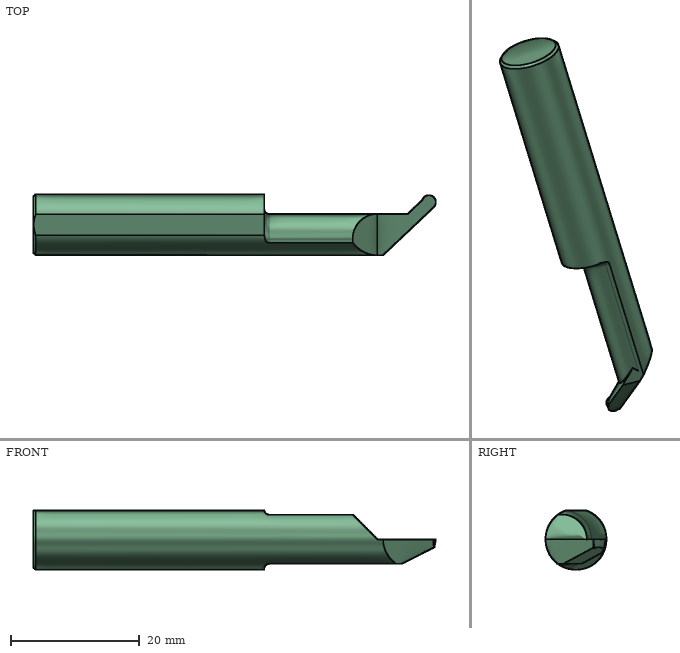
import cadquery as cq
import math

shank_diameter = 9.525
shank_radius = shank_diameter / 2
shank_length = 36.0
flat_height = 4.48
rear_chamfer = 0.4

overall_length = 62.7
neck_radius = 3.85
neck_side = 1.68
neck_axis_y = neck_side - neck_radius
neck_fillet = 0.7

rake_height = 0.0
ramp_end = 53.6
ramp_start = ramp_end - (shank_radius - rake_height)

flank_start = 54.47
arm_width = 2.05
tip_radius = 1.1
tip_top = 4.6
tip_x = overall_length - tip_radius
tip_y = tip_top - tip_radius
flank_to_tip_x = tip_x - flank_start
flank_to_tip_y = tip_y + shank_radius
flank_to_tip = math.hypot(flank_to_tip_x, flank_to_tip_y)
flank_angle = math.atan2(flank_to_tip_y, flank_to_tip_x) - math.asin(tip_radius / flank_to_tip)
tip_draft = 10.0

clearance_start = 57.36
clearance_angle = 27.0


def remove_above_flat(body):
    """Cut the clamping flat, which also limits the neck fillet."""
    above_flat = cq.Workplane("XY").box(
        overall_length, shank_diameter, shank_diameter, centered=(False, True, False)
    )
    return body.cut(above_flat.translate((0, 0, flat_height)))


def make_shank():
    """Chamfered round bar with the clamping flat, up to the neck."""
    bar = cq.Workplane("YZ").circle(shank_radius).extrude(shank_length)
    bar = bar.faces("<X").chamfer(rear_chamfer)
    return remove_above_flat(bar)


def neck_half_profile():
    """Half section of the neck in XY, measured from the neck axis, with the root fillet."""
    root_offset = neck_fillet * (1 - math.sqrt(0.5))
    return (
        cq.Workplane("XY")
        .moveTo(shank_length, 0)
        .lineTo(shank_length, neck_radius + neck_fillet)
        .threePointArc(
            (shank_length + root_offset, neck_radius + root_offset),
            (shank_length + neck_fillet, neck_radius),
        )
        .lineTo(overall_length, neck_radius)
        .lineTo(overall_length, 0)
        .close()
    )


def make_neck():
    """Round side about the neck axis, flats towards -Y, trimmed to the bar surface."""
    round_side = neck_half_profile().revolve(360, (0, 0, 0), (1, 0, 0))
    upper_flat = neck_half_profile().extrude(shank_diameter).rotate((0, 0, 0), (1, 0, 0), 90)
    lower_flat = upper_flat.mirror("XY")
    neck = round_side.union(upper_flat).union(lower_flat).translate((0, neck_axis_y, 0))
    bar = cq.Workplane("YZ").circle(shank_radius).extrude(overall_length)
    return remove_above_flat(neck.intersect(bar))


def flank_x(y):
    """X of the flank plane at the given Y."""
    return flank_start + (y + shank_radius) / math.tan(flank_angle)


def remove_beyond_flank(body):
    """Cut away everything on the +X side of the flank plane."""
    far_x = overall_length + shank_diameter
    waste = (
        cq.Workplane("XY")
        .polyline([
            (flank_x(-shank_diameter), -shank_diameter),
            (far_x, -shank_diameter),
            (far_x, shank_diameter),
            (flank_x(shank_diameter), shank_diameter),
        ])
        .close()
        .extrude(shank_radius, both=True)
    )
    return body.cut(waste)


def make_arm():
    """Straight arm along the flank, from inside the neck to level with the tip centre."""
    along = (math.cos(flank_angle), math.sin(flank_angle))
    inward = (-math.sin(flank_angle), math.cos(flank_angle))
    tip_distance = math.sqrt(flank_to_tip**2 - tip_radius**2)
    root_distance = tip_distance - (tip_y - neck_axis_y) / along[1]

    def arm_point(distance, offset):
        return (
            flank_start + distance * along[0] + offset * inward[0],
            -shank_radius + distance * along[1] + offset * inward[1],
        )

    return (
        cq.Workplane("XY")
        .polyline([
            arm_point(root_distance, 0),
            arm_point(tip_distance, 0),
            arm_point(tip_distance, arm_width),
            arm_point(root_distance, arm_width),
        ])
        .close()
        .extrude(-neck_radius)
    )


def make_tip():
    """Round tip, narrowing downwards from the cutting edge."""
    return cq.Workplane("XY").center(tip_x, tip_y).circle(tip_radius).extrude(-neck_radius, taper=tip_draft)


def remove_above_rake(body):
    """Cut the 45 degree ramp and the level rake face."""
    far_x = overall_length + shank_diameter
    waste = (
        cq.Workplane("XZ")
        .polyline([
            (ramp_start, shank_radius),
            (ramp_end, rake_height),
            (far_x, rake_height),
            (far_x, shank_radius),
        ])
        .close()
        .extrude(shank_diameter, both=True)
    )
    return body.cut(waste)


def remove_below_clearance(body):
    """Cut the underside along the plane that rises towards the tip."""
    far_x = overall_length + tip_radius
    rise = (far_x - clearance_start) * math.tan(math.radians(clearance_angle))
    waste = (
        cq.Workplane("XZ")
        .polyline([
            (clearance_start, -neck_radius),
            (far_x, -neck_radius + rise),
            (far_x, -shank_diameter),
            (clearance_start, -shank_diameter),
        ])
        .close()
        .extrude(shank_diameter, both=True)
    )
    return body.cut(waste)


cutting_end = remove_above_rake(remove_beyond_flank(make_neck()))
cutting_end = remove_below_clearance(cutting_end.union(make_arm()).union(make_tip()))
result = make_shank().union(cutting_end)